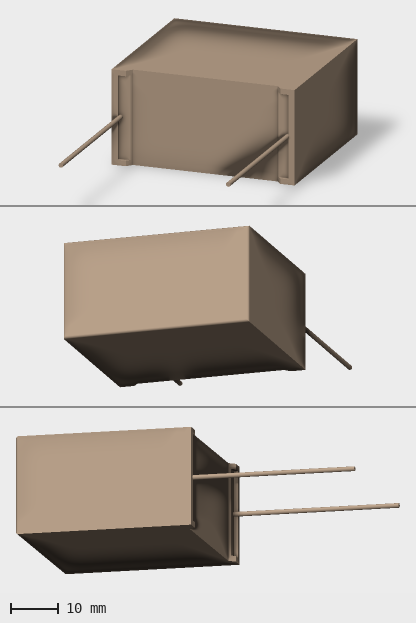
import cadquery as cq

case_width = 41.0
case_height = 21.0
case_depth = 38.0
back_edge_radius = 0.5
side_wall = 1.4
end_wall = 1.2
front_wall = 1.4
back_wall = 1.4

relief_depth = 1.35
relief_floor_half_width = 16.2
relief_mouth_half_width = 17.3

resin_setback = 0.85
resin_slope = (relief_mouth_half_width - relief_floor_half_width) / relief_depth
slot_inner_x = relief_mouth_half_width - resin_setback * resin_slope

lead_diameter = 1.0
lead_pitch = 37.5
lead_length = 35.0
lead_embed = 3.0

half_width = case_width / 2
cavity_half_width = half_width - side_wall
cavity_height = case_height - 2 * end_wall
cavity_front = relief_depth + front_wall
cavity_back = case_depth - back_wall
sides = (-1, 1)


def block(x_start, x_end, y_start, y_end, height):
    """Box between the given X and Y limits, centred on Z = 0."""
    return (
        cq.Workplane("XY")
        .box(x_end - x_start, y_end - y_start, height)
        .translate(((x_start + x_end) / 2, (y_start + y_end) / 2, 0))
    )


def cavity_block():
    """Main volume inside the case walls."""
    return block(-cavity_half_width, cavity_half_width, cavity_front, cavity_back, cavity_height)


def slot(side, y_start, y_end):
    """Slot volume in the foot on one side (-1 or +1)."""
    x_start, x_end = sorted((side * slot_inner_x, side * cavity_half_width))
    return block(x_start, x_end, y_start, y_end, cavity_height)


def lead(side):
    """Straight round wire running from inside the resin out past the foot."""
    return (
        cq.Workplane("XZ", origin=(side * lead_pitch / 2, lead_embed, 0))
        .circle(lead_diameter / 2)
        .extrude(lead_embed + lead_length)
    )


def make_case():
    """Rounded-back box with a sloped relief, a cavity and two foot slots."""
    body = block(-half_width, half_width, 0, case_depth, case_height)
    body = body.faces(">Y").edges().fillet(back_edge_radius)
    relief = (
        cq.Workplane("XY")
        .polyline([
            (-relief_mouth_half_width, 0),
            (-relief_floor_half_width, relief_depth),
            (relief_floor_half_width, relief_depth),
            (relief_mouth_half_width, 0),
        ])
        .close()
        .extrude(case_height / 2, both=True)
    )
    body = body.cut(relief)
    body = body.cut(cavity_block())
    for side in sides:
        body = body.cut(slot(side, 0, cavity_front))
        body = body.cut(lead(side))
    return body


def make_resin():
    """Block filling the cavity, with a neck up each slot and a hole for each lead."""
    body = cavity_block()
    for side in sides:
        body = body.union(slot(side, resin_setback, cavity_front))
        body = body.cut(lead(side))
    return body


case = make_case()
resin = make_resin()
leads = [lead(side) for side in sides]

result = cq.Compound.makeCompound([
    case.solids().val(),
    resin.solids().val(),
    *[wire.val() for wire in leads],
])